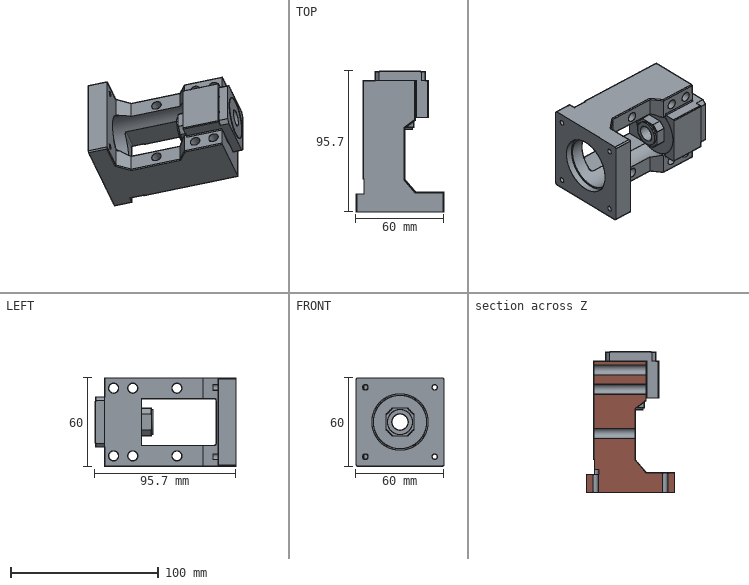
import cadquery as cq

plate_size = 60.0
plate_half = plate_size / 2
plate_depth = 13.6
plate_step = 12.3
plate_corner_chamfer = 1.0
plate_back_chamfer = 0.4
housing_back = 89.1
mount_face_x = -25.1
relief_depth = 0.6
relief_end = 22.3
waist_x = 3.25
waist_front = 22.2
waist_back = 56.8
shoulder_x = 10.6
shoulder_front = 62.4
edge_chamfer = 0.7

block_front = 64.1
block_x = 19.2
block_half_height = 17.0
block_edge_chamfer = 0.6
block_root_chamfer = 0.7
window_half_height = 15.8
window_corner_radius = 1.2
bore_radius = 18.1
counterbore_radius = 19.1
counterbore_depth = 4.7
mount_hole_diameter = 6.6
mount_hole_z = 23.0
mount_hole_ys = (40.1, 70.0, 83.0)
plate_hole_diameter = 3.4
plate_hole_offset = 23.5
pocket_diameter = 4.1
pocket_end = 15.5

flange_size = 2 * block_half_height
flange_center_x = 0.2
flange_chamfer = 2.5
flange_back = 95.3

neck_radius = 14.1
insert_back = 95.65
nut_size = 18.7
nut_chamfer = 4.0
nut_front = 57.4
nut_bevel = 0.4
collar_radius = 8.5
insert_front = 56.1
shaft_hole_radius = 5.45


def y_cylinder(radius, start, end, x=0.0, z=0.0):
    """Cylinder along +Y from start to end."""
    disc = cq.Workplane("XZ", origin=(x, start, z)).circle(radius)
    return disc.extrude(start - end)


def y_box(x_min, x_max, start, end, half_height):
    """Box that is symmetric about Z = 0."""
    size = (x_max - x_min, end - start, 2 * half_height)
    return cq.Workplane("XY").box(*size, centered=(False, False, True)).translate((x_min, start, 0))


def octagon_block(size, corner, start, end):
    """Square block along +Y with its four long corners cut off."""
    block = y_box(-size / 2, size / 2, start, end, size / 2)
    return block.edges("|Y").chamfer(corner)


def make_frame():
    """Plate and arm in one profile, with the plate corners and the long +X edges chamfered."""
    relief_x = mount_face_x + relief_depth
    outline = [
        (-plate_half, 0), (plate_half, 0), (plate_half, plate_depth),
        (shoulder_x, plate_depth), (waist_x, waist_front), (waist_x, waist_back),
        (shoulder_x, shoulder_front), (shoulder_x, housing_back),
        (mount_face_x, housing_back), (mount_face_x, relief_end),
        (relief_x, relief_end), (relief_x, plate_step), (-plate_half, plate_step),
    ]
    frame = cq.Workplane("XY").polyline(outline).close().extrude(plate_half, both=True)

    plate_back_edge = frame.faces("<X").edges(">Y")
    frame = plate_back_edge.chamfer(plate_back_chamfer)
    plate_corners = frame.faces("<X or >X").edges("|Y")
    frame = plate_corners.chamfer(plate_corner_chamfer)

    arm_side = cq.selectors.BoxSelector(
        (0, plate_step, -plate_size),
        (plate_half - plate_corner_chamfer, housing_back - edge_chamfer, plate_size),
    )
    return frame.faces(">Z or <Z").edges(arm_side).chamfer(edge_chamfer)


def make_bearing_block():
    """Block on the +X side of the arm, with chamfered outer corners and sloped roots."""
    root_x = shoulder_x + block_root_chamfer
    edge_x = block_x - block_edge_chamfer
    edge_z = block_half_height - block_edge_chamfer
    root_z = block_half_height + block_root_chamfer
    upper_side = [
        (shoulder_x, root_z), (root_x, block_half_height), (edge_x, block_half_height), (block_x, edge_z),
    ]
    lower_side = [(x, -z) for x, z in reversed(upper_side)]
    arm_overlap = [(0, -root_z), (0, root_z)]
    profile = cq.Workplane("XZ", origin=(0, block_front, 0)).polyline(upper_side + lower_side + arm_overlap)
    return profile.close().extrude(block_front - housing_back)


def make_window():
    """Opening between plate and bearing block, through the arm along X."""
    window = y_box(-plate_half, plate_half, plate_depth, block_front, window_half_height)
    return window.edges("|X and <Y").fillet(window_corner_radius)


def make_mount_holes():
    centers = [(y, z) for y in mount_hole_ys for z in (-mount_hole_z, mount_hole_z)]
    plane = cq.Workplane("YZ", origin=(-plate_half, 0, 0)).pushPoints(centers)
    return plane.circle(mount_hole_diameter / 2).extrude(plate_size)


def make_plate_holes():
    """Four plate holes, with wider screw pockets behind the two on the -X side."""
    holes = cq.Workplane("XY")
    for z in (-plate_hole_offset, plate_hole_offset):
        for x in (-plate_hole_offset, plate_hole_offset):
            holes = holes.add(y_cylinder(plate_hole_diameter / 2, 0, plate_depth, x, z))
        holes = holes.add(y_cylinder(pocket_diameter / 2, plate_step, pocket_end, -plate_hole_offset, z))
    return holes.combine()


def make_housing():
    flange = octagon_block(flange_size, flange_chamfer, housing_back, flange_back)
    flange = flange.translate((flange_center_x, 0, 0))
    housing = make_frame().union(make_bearing_block()).union(flange)
    housing = housing.cut(make_window())
    housing = housing.cut(y_cylinder(bore_radius, 0, housing_back))
    housing = housing.cut(y_cylinder(neck_radius, housing_back, flange_back))
    housing = housing.cut(y_cylinder(counterbore_radius, 0, counterbore_depth))
    return housing.cut(make_mount_holes()).cut(make_plate_holes())


def make_nut():
    """Octagonal nut with the front edges of its diagonal faces bevelled."""
    nut = octagon_block(nut_size, nut_chamfer, nut_front, block_front)
    diagonal_edges = nut.faces("<Y").edges("not(|X or |Z)")
    return diagonal_edges.chamfer(nut_bevel)


def make_insert():
    """Bearing insert that fills the bore, with a nut in front and a neck through the flange."""
    insert = y_cylinder(bore_radius, block_front, housing_back)
    insert = insert.union(y_cylinder(neck_radius, housing_back, insert_back))
    insert = insert.union(make_nut())
    insert = insert.union(y_cylinder(collar_radius, insert_front, nut_front))
    return insert.cut(y_cylinder(shaft_hole_radius, insert_front, insert_back))


housing = make_housing()
insert = make_insert()

result = cq.Compound.makeCompound([housing.val(), insert.val()])